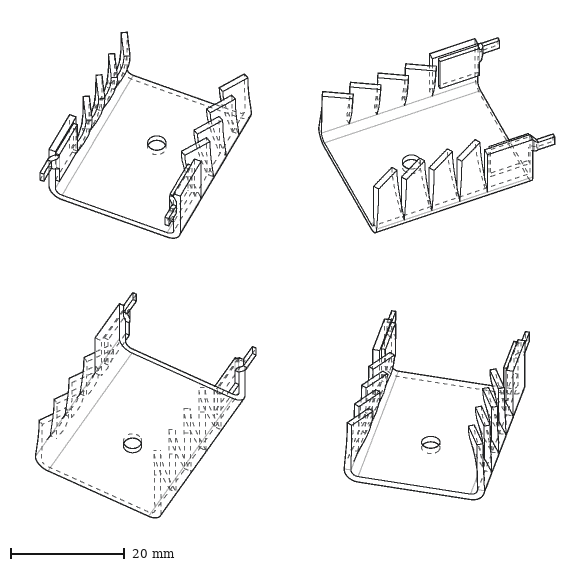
import cadquery as cq
import math


width = 25.4
height = 12.7
length = 29.97
overall_length = 34.3
sheet = 1.27
bend_outer_radius = 2 * sheet
half_width = width / 2
wall_inner_x = half_width - sheet

hole_diameter = 3.22
hole_from_back = 12.25

fin_count = 4
fin_pitch = 5.3
fin_top_thickness = 1.1
fin_top_length = 5.42
fin_twist_degrees = 30.0
fin_top_inset = 2.25
fin_section_count = 6
fin_height = height - bend_outer_radius
tab_length = length - fin_count * fin_pitch

pin_thickness = 0.75
plate_length = 7.58
plate_bottom = 4.85
plate_top = 12.17
pin_offset = 1.03
jog_length = 1.13
pin_overhang = overall_length - length
pin_center_z = 10.1
jog_root_height = 3.43
tip_height = 2.02


def make_channel():
    """Floor, both bends and the straight front tabs, as one folded sheet."""
    bent_sheet = (
        cq.Workplane("XZ")
        .rect(width, 2 * height)
        .extrude(-length)
        .edges("|Y and <Z")
        .fillet(bend_outer_radius)
        .translate((0, 0, height))
    )
    cavity = (
        cq.Workplane("XZ")
        .rect(2 * wall_inner_x, 2 * (height - sheet))
        .extrude(-length)
        .edges("|Y and <Z")
        .fillet(bend_outer_radius - sheet)
        .translate((0, 0, height))
    )
    above_walls = cq.Workplane("XY").box(
        width, length, height, centered=(True, False, False)
    ).translate((0, 0, height))
    above_bends = cq.Workplane("XY").box(
        width, length - tab_length, height, centered=(True, False, False)
    ).translate((0, tab_length, bend_outer_radius))
    hole = (
        cq.Workplane("XY")
        .center(0, length - hole_from_back)
        .circle(hole_diameter / 2)
        .extrude(sheet)
    )
    return bent_sheet.cut(cavity).cut(above_walls).cut(above_bends).cut(hole)


def fin_corners(center_x, center_y, thickness, span, twist):
    """Plan corners of a rectangle turned anticlockwise by the twist angle."""
    corners = []
    for side, end in ((-1, -1), (1, -1), (1, 1), (-1, 1)):
        across = side * thickness / 2
        along = end * span / 2
        x = center_x + across * math.cos(twist) - along * math.sin(twist)
        y = center_y + across * math.sin(twist) + along * math.cos(twist)
        corners.append((x, y))
    return corners


def make_fin(front_y):
    """Left-hand fin whose corners ease from the wall line into the turned top edge."""
    center_y = front_y + fin_pitch / 2
    base = fin_corners(-half_width + sheet / 2, center_y, sheet, fin_pitch, 0)
    top = fin_corners(
        -half_width + fin_top_inset,
        center_y,
        fin_top_thickness,
        fin_top_length,
        math.radians(fin_twist_degrees),
    )
    sections = []
    for i in range(fin_section_count):
        rise = i / (fin_section_count - 1)
        blend = math.sin(rise * math.pi / 2)
        z = bend_outer_radius + rise * fin_height
        points = [
            cq.Vector(x0 + blend * (x1 - x0), y0 + blend * (y1 - y0), z)
            for (x0, y0), (x1, y1) in zip(base, top)
        ]
        sections.append(cq.Wire.makePolygon(points, close=True))
    return cq.Workplane(cq.Solid.makeLoft(sections))


def make_heatsink():
    """Folded channel with a row of fins on each wall."""
    heatsink = make_channel()
    for i in range(fin_count):
        fin = make_fin(tab_length + i * fin_pitch)
        heatsink = heatsink.union(fin).union(fin.mirror("YZ"))
    return heatsink


def make_pin():
    """Left-hand pin: flat plate, double-bent tapering jog and straight tip."""
    plate_outer_x = -wall_inner_x
    plate_inner_x = plate_outer_x + pin_thickness
    tip_outer_x = plate_outer_x - pin_offset
    tip_inner_x = tip_outer_x + pin_thickness

    plate = cq.Workplane("XY").box(
        pin_thickness, plate_length, plate_top - plate_bottom, centered=False
    ).translate((plate_outer_x, 0, plate_bottom))

    first_corner = (plate_outer_x, 0)
    second_corner = (tip_inner_x, -jog_length)
    run_x = first_corner[0] - second_corner[0]
    bend_angle = math.atan2(run_x, jog_length) + math.asin(
        pin_thickness / math.hypot(run_x, jog_length)
    )

    def on_bend(corner, angle, side):
        return (
            corner[0] + side * pin_thickness * math.cos(angle),
            corner[1] - side * pin_thickness * math.sin(angle),
        )

    tip_and_jog_outline = (
        cq.Workplane("XY")
        .moveTo(*first_corner)
        .lineTo(plate_inner_x, 0)
        .threePointArc(
            on_bend(first_corner, bend_angle / 2, 1),
            on_bend(first_corner, bend_angle, 1),
        )
        .lineTo(*second_corner)
        .lineTo(tip_inner_x, -pin_overhang)
        .lineTo(tip_outer_x, -pin_overhang)
        .lineTo(tip_outer_x, -jog_length)
        .threePointArc(
            on_bend(second_corner, bend_angle / 2, -1),
            on_bend(second_corner, bend_angle, -1),
        )
        .close()
        .extrude(height)
    )
    side_outline = (
        cq.Workplane("YZ")
        .polyline([
            (0, pin_center_z - jog_root_height / 2),
            (0, pin_center_z + jog_root_height / 2),
            (-jog_length, pin_center_z + tip_height / 2),
            (-pin_overhang, pin_center_z + tip_height / 2),
            (-pin_overhang, pin_center_z - tip_height / 2),
            (-jog_length, pin_center_z - tip_height / 2),
        ])
        .close()
        .extrude(-half_width)
    )
    return plate.union(tip_and_jog_outline.intersect(side_outline))


heatsink = make_heatsink()
left_pin = make_pin()
pins = [left_pin, left_pin.mirror("YZ")]

result = cq.Compound.makeCompound([heatsink.val(), *[pin.val() for pin in pins]])